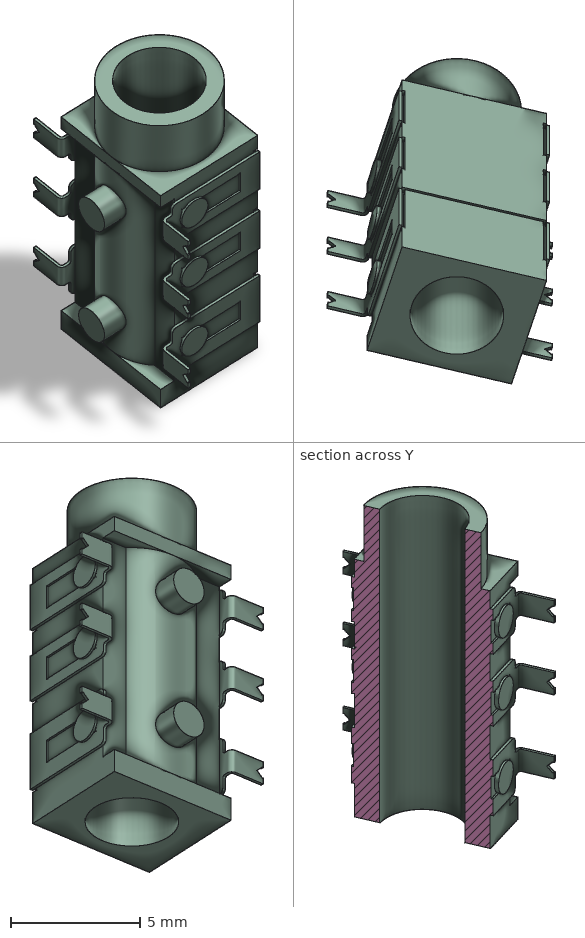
import cadquery as cq

total_height = 14.0
total_width = 9.0
block_height = 11.51
block_width = 5.8
collar_radius = 2.5
bore_radius = 1.8
side_x = block_width / 2
back_y = collar_radius
front_y = -collar_radius

relief_depth = 0.71
relief_bottom = 1.0
relief_top = 10.86

peg_radius = 0.75
peg_length = 1.0
peg_heights = [3.0, 9.0]

terminals = [(2.75, 2.5), (6.5, 2.02), (9.7, 2.02)]
lowest_centre, lowest_height = terminals[0]
sheet = 0.13
plate_front_y = -2.0
plate_corner_radius = 0.22
neck_corner_radius = 0.11
tail_width = 1.0
tail_tip_x = total_width / 2
bend_inner_radius = 0.11
bend_outer_radius = bend_inner_radius + sheet

notch_depth = 0.31
notch_half_width = 0.24
notch_lip = 0.05

pocket_length = 3.02
pocket_depth = 0.08
disc_radius = 0.67
disc_y = -0.94
disc_rise = 0.1

slot_depth = 0.22
slot_reach = 0.13
slot_clearance = 0.08
through_gap_height = 0.13


def box_between(x_range, y_range, z_range):
    """Axis-aligned box given its limits along each axis."""
    corner = (x_range[0], y_range[0], z_range[0])
    size = (x_range[1] - x_range[0], y_range[1] - y_range[0], z_range[1] - z_range[0])
    return cq.Workplane("XY").box(*size, centered=False).translate(corner)


def make_housing():
    block = box_between((-side_x, side_x), (front_y, back_y), (0, block_height))
    relief = box_between(
        (-side_x, side_x), (front_y, front_y + relief_depth), (relief_bottom, relief_top)
    )
    barrel = cq.Workplane("XY").circle(collar_radius).extrude(total_height)
    return block.cut(relief).union(barrel)


def make_peg(height):
    peg = cq.Workplane("XZ").center(0, height).circle(peg_radius)
    return peg.extrude(collar_radius + peg_length)


def make_back_slots():
    """Shallow side slots behind every plate, and one full-width gap above the lowest plate."""
    gap_bottom = lowest_centre + lowest_height / 2
    slots = box_between(
        (-side_x, side_x),
        (back_y - slot_depth, back_y),
        (gap_bottom, gap_bottom + through_gap_height),
    )
    for centre, height in terminals:
        half_slot = height / 2 + slot_clearance
        slot = box_between(
            (side_x - slot_reach, side_x),
            (back_y - slot_depth, back_y),
            (centre - half_slot, centre + half_slot),
        )
        slots = slots.union(slot).union(slot.mirror("YZ"))
    return slots


def make_plate(plate_height):
    """Flat plate with a neck, centred on Z = 0, on the +X side of the block."""
    neck_end_y = front_y + bend_outer_radius
    half_plate = plate_height / 2
    half_tail = tail_width / 2
    plate = box_between(
        (side_x, side_x + sheet), (plate_front_y, back_y), (-half_plate, half_plate)
    )
    plate = plate.edges("|X and <Y").fillet(plate_corner_radius)
    neck = box_between(
        (side_x, side_x + sheet), (neck_end_y, back_y), (-half_tail, half_tail)
    )
    inner_corners = cq.selectors.BoxSelector(
        (side_x - sheet, plate_front_y - sheet / 2, -half_tail - sheet / 2),
        (side_x + 2 * sheet, plate_front_y + sheet / 2, half_tail + sheet / 2),
    )
    plate = plate.union(neck).edges("|X").edges(inner_corners).fillet(neck_corner_radius)
    pocket = box_between(
        (side_x + sheet - pocket_depth, side_x + sheet),
        (-pocket_length / 2, pocket_length / 2),
        (-half_tail, half_tail),
    )
    disc = cq.Workplane("YZ", origin=(side_x, disc_y, 0)).circle(disc_radius)
    return plate.cut(pocket).union(disc.extrude(sheet + disc_rise))


def make_tail():
    """Bent strip leading from the neck out to the notched tip, centred on Z = 0."""
    bend_end_x = side_x + bend_outer_radius
    bend_start_y = front_y + bend_outer_radius
    strip = (
        cq.Workplane("XY", origin=(0, 0, -tail_width / 2))
        .moveTo(side_x, bend_start_y)
        .radiusArc((bend_end_x, front_y), -bend_outer_radius)
        .lineTo(tail_tip_x, front_y)
        .lineTo(tail_tip_x, front_y + sheet)
        .lineTo(bend_end_x, front_y + sheet)
        .radiusArc((side_x + sheet, bend_start_y), bend_inner_radius)
        .close()
        .extrude(tail_width)
    )
    lip_x = tail_tip_x - notch_lip
    notch = (
        cq.Workplane("XZ", origin=(0, front_y + sheet, 0))
        .moveTo(tail_tip_x, notch_half_width)
        .lineTo(lip_x, notch_half_width)
        .lineTo(tail_tip_x - notch_depth, 0)
        .lineTo(lip_x, -notch_half_width)
        .lineTo(tail_tip_x, -notch_half_width)
        .close()
        .extrude(sheet)
    )
    return strip.cut(notch)


result = make_housing()
for peg_height in peg_heights:
    result = result.union(make_peg(peg_height))
bore = cq.Workplane("XY").circle(bore_radius).extrude(total_height)
result = result.cut(bore).cut(make_back_slots())

for centre, height in terminals:
    terminal = make_plate(height).union(make_tail()).translate((0, 0, centre))
    result = result.union(terminal).union(terminal.mirror("YZ"))